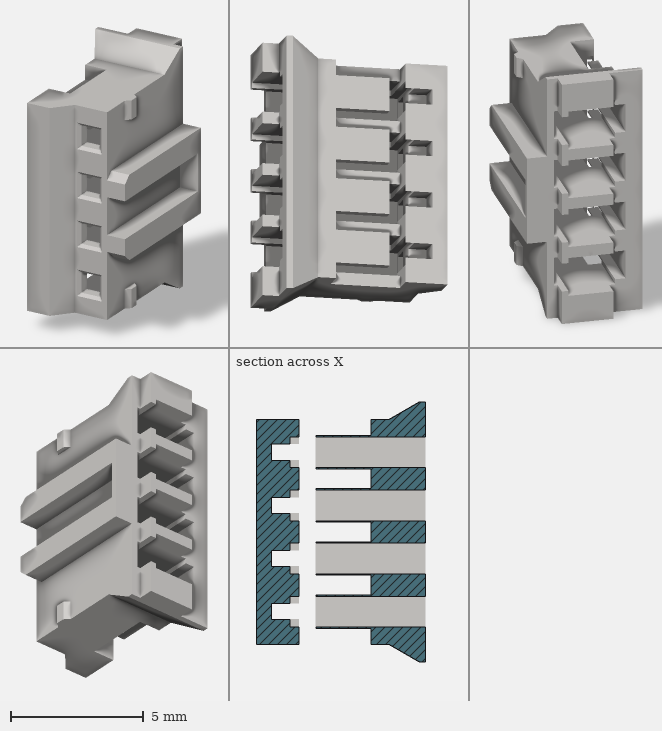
import cadquery as cq


terminal_count = 4
pitch = 2.0
terminal_heights = [(i - (terminal_count - 1) / 2) * pitch for i in range(terminal_count)]

length = 7.0
flange_height = 9.8
body_height = 8.49
flange_reach = (flange_height - body_height) / 2
body_left = flange_reach
body_right = 3.71

mating_face = 0.75
flange_taper_start = 5.0
flange_lip_start = 6.13
flange_rear = 6.37

nose_width = 0.99
nose_slope = 0.66

rear_block_left = 1.3
rear_block_right = 3.3

recess_floor = 1.59
recess_start = 1.62
recess_end = 4.3
tongue_end = 2.24
tongue_depth = 0.41
tongue_height = 1.27
tongue_skin = 0.01

cavity_start = 1.28
cavity_height = 1.14
cavity_right = 3.44
wide_cavity_height = 1.55
wide_cavity_right = 3.05
notch_start = 0.59
notch_height = 0.59

pin_hole_size = 0.84
pin_hole_lead_in = 0.12
pin_hole_x = 2.94

rib_right = 4.5
rib_outer_z = 1.74
rib_inner_z = 0.77
rib_bevel_length = 0.31
rib_bevel_height = 0.28

bump_reach = 0.21
bump_start = 2.05
bump_end = 2.76
bump_slope = 0.18
bump_height = 0.78


def block(x_range, y_range, z_range):
    """Box between the given limits along each axis."""
    limits = (x_range, y_range, z_range)
    sizes = [high - low for low, high in limits]
    corner = tuple(low for low, high in limits)
    return cq.Workplane("XY").box(*sizes, centered=False).translate(corner)


def around(middle, size):
    """Limits of a span of the given size about its middle."""
    return (middle - size / 2, middle + size / 2)


def make_shell():
    """Body, tapered flange and rear block, where the plan and side outlines overlap."""
    plan = (
        cq.Workplane("XY")
        .moveTo(body_left, 0)
        .lineTo(body_left + nose_width, 0)
        .lineTo(body_left + nose_width + nose_slope, mating_face)
        .lineTo(body_right, mating_face)
        .lineTo(body_right, flange_rear)
        .lineTo(rear_block_right, flange_rear)
        .lineTo(rear_block_right, length)
        .lineTo(rear_block_left, length)
        .lineTo(rear_block_left, flange_rear)
        .lineTo(0, flange_rear)
        .lineTo(0, flange_lip_start)
        .lineTo(body_left, flange_taper_start)
        .close()
        .extrude(flange_height / 2, both=True)
    )
    side = (
        cq.Workplane("YZ")
        .moveTo(0, -body_height / 2)
        .lineTo(flange_taper_start, -body_height / 2)
        .lineTo(flange_lip_start, -flange_height / 2)
        .lineTo(length, -flange_height / 2)
        .lineTo(length, flange_height / 2)
        .lineTo(flange_lip_start, flange_height / 2)
        .lineTo(flange_taper_start, body_height / 2)
        .lineTo(0, body_height / 2)
        .close()
        .extrude(body_right)
    )
    return plan.intersect(side)


def make_recess():
    """Full-height pocket in the latch side, leaving the latch tongues standing."""
    recess = block((0, recess_floor), (recess_start, recess_end), around(0, body_height))
    for z in terminal_heights:
        tongue = block(
            (body_left, body_left + tongue_depth),
            (tongue_end, recess_end),
            around(z, tongue_height),
        )
        recess = recess.cut(tongue)
    return recess


def make_cavity(z):
    """Terminal cavity at one height, with its widened middle and the latch notch."""
    narrow = block(
        (body_left + tongue_skin, cavity_right), (cavity_start, length), around(z, cavity_height)
    )
    wide = block(
        (body_left + tongue_depth, wide_cavity_right),
        (recess_start, length),
        around(z, wide_cavity_height),
    )
    notch = block((body_left, recess_floor), (notch_start, recess_start), around(z, notch_height))
    return narrow.union(wide).union(notch)


def make_pin_hole(z):
    """Square pin opening with a tapered lead-in at the mating face."""
    hole = block(
        around(pin_hole_x, pin_hole_size), (mating_face, cavity_start), around(z, pin_hole_size)
    )
    mouth_size = pin_hole_size + 2 * pin_hole_lead_in
    lead_in = (
        cq.Workplane("XZ", origin=(pin_hole_x, mating_face, z))
        .rect(mouth_size, mouth_size)
        .workplane(offset=-pin_hole_lead_in)
        .rect(pin_hole_size, pin_hole_size)
        .loft()
    )
    return hole.union(lead_in)


def make_ribs():
    """Two polarising ribs with bevelled outer leading edges, bridged at the flange lip."""
    ribs = block(
        (body_right, rib_right), (flange_lip_start, flange_rear), (-rib_inner_z, rib_inner_z)
    )
    for side in (-1, 1):
        rib = (
            cq.Workplane("YZ", origin=(body_right, 0, 0))
            .moveTo(mating_face, side * rib_inner_z)
            .lineTo(mating_face, side * (rib_outer_z - rib_bevel_height))
            .lineTo(mating_face + rib_bevel_length, side * rib_outer_z)
            .lineTo(flange_rear, side * rib_outer_z)
            .lineTo(flange_rear, side * rib_inner_z)
            .close()
            .extrude(rib_right - body_right)
        )
        ribs = ribs.union(rib)
    return ribs


def make_bump(bottom):
    """Retention bump with sloped ends, rising along Z from its bottom face."""
    return (
        cq.Workplane("XY", origin=(body_right, 0, bottom))
        .moveTo(0, bump_start)
        .lineTo(bump_reach, bump_start + bump_slope)
        .lineTo(bump_reach, bump_end - bump_slope)
        .lineTo(0, bump_end)
        .close()
        .extrude(bump_height)
    )


result = make_shell().cut(make_recess())
for height in terminal_heights:
    result = result.cut(make_cavity(height)).cut(make_pin_hole(height))
result = result.union(make_ribs())
for bump_bottom in (-body_height / 2, body_height / 2 - bump_height):
    result = result.union(make_bump(bump_bottom))